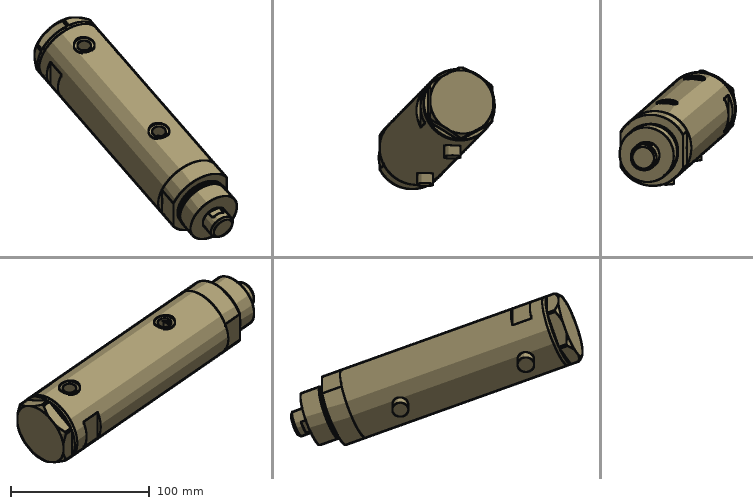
import cadquery as cq
import math


outer_diameter = 52.0
outer_radius = outer_diameter / 2
overall_height = 59.4
across_flats = 45.9
rod_radius = 9.5
bore_radius = 15.0
head_seat_radius = 22.3

hex_end = 8.8
cap_end = 11.4
cap_spigot_end = 34.3
head_spigot_start = 132.5
barrel_end = 168.7
head_end = 184.2
collar_start = 187.8
collar_end = 202.2
rod_flat_end = 208.0
rod_end = 214.5

hex_corner_chamfer = 2.8

barrel_flat_start = 21.0
barrel_flat_end = 35.8
port_radius = 5.0
port_face_radius = 7.5
port_face_depth = 1.3
port_places = (30.5, 129.5)
peg_bottom = outer_radius - overall_height
pegs = ((34.7, 6.0), (132.5, 5.8))

neck_radius = 19.5
neck_groove_radius = 18.9
neck_groove_start = 185.5
neck_groove_end = 186.7
collar_radius = 20.0

rod_across_flats = 16.3
rod_tip_chamfer = 1.5


def cylinder_x(radius, start, end):
    """Solid cylinder on the X axis between two places."""
    return cq.Workplane("YZ", origin=(start, 0, 0)).circle(radius).extrude(end - start)


def cylinder_z(radius, place, bottom, top):
    """Solid upright cylinder that crosses the X axis at the given place."""
    return cq.Workplane("XY", origin=(place, 0, bottom)).circle(radius).extrude(top - bottom)


def slab_x(size_y, size_z, start, end):
    """Block centred on the X axis; what it keeps of a round body has two flats."""
    return cq.Workplane("YZ", origin=(start, 0, 0)).rect(size_y, size_z).extrude(end - start)


def side_flats(start, end):
    """Material to remove for two wrench flats on the -Y and +Y sides."""
    outer_size = 3 * outer_radius
    return slab_x(outer_size, outer_size, start, end).cut(
        slab_x(across_flats, outer_size, start, end)
    )


def make_cap():
    """Hexagonal cap with chamfered corners, a round flange and a spigot for the bore."""
    across_corners = across_flats / math.cos(math.radians(30))
    hexagon = (
        cq.Workplane("YZ")
        .polygon(6, across_corners)
        .extrude(hex_end)
        .rotate((0, 0, 0), (1, 0, 0), 90)
    )
    corner_trim = cylinder_x(outer_radius, 0, hex_end).faces("<X").chamfer(hex_corner_chamfer)
    flange = cylinder_x(outer_radius, hex_end, cap_end)
    spigot = cylinder_x(bore_radius, cap_end, cap_spigot_end)
    return hexagon.intersect(corner_trim).union(flange).union(spigot)


def make_barrel():
    """Tube with two flats, two ports on top and two pegs underneath."""
    barrel = cylinder_x(outer_radius, cap_end, barrel_end)
    for place, radius in pegs:
        barrel = barrel.union(cylinder_z(radius, place, peg_bottom, 0))
    barrel = barrel.cut(cylinder_x(bore_radius, cap_end, head_spigot_start))
    barrel = barrel.cut(cylinder_x(head_seat_radius, head_spigot_start, barrel_end))
    barrel = barrel.cut(side_flats(barrel_flat_start, barrel_flat_end))
    port_face = outer_radius - port_face_depth
    for place in port_places:
        barrel = barrel.cut(cylinder_z(port_face_radius, place, port_face, outer_radius))
        barrel = barrel.cut(cylinder_z(port_radius, place, 0, outer_radius))
    return barrel


def make_head():
    """Rod guide: spigot in the barrel, flatted flange, grooved neck and collar."""
    spigot = cylinder_x(head_seat_radius, head_spigot_start, barrel_end)
    flange = cylinder_x(outer_radius, barrel_end, head_end).cut(side_flats(barrel_end, head_end))
    neck = (
        cylinder_x(neck_radius, head_end, neck_groove_start)
        .union(cylinder_x(neck_groove_radius, neck_groove_start, neck_groove_end))
        .union(cylinder_x(neck_radius, neck_groove_end, collar_start))
    )
    collar = cylinder_x(collar_radius, collar_start, collar_end)
    head = spigot.union(flange).union(neck).union(collar)
    return head.cut(cylinder_x(rod_radius, head_spigot_start, collar_end))


def make_rod():
    """Round rod from the cap to its chamfered tip, flatted above and below past the collar."""
    rod = cylinder_x(rod_radius, cap_spigot_end, rod_end).faces(">X").chamfer(rod_tip_chamfer)
    rod_width = 2 * rod_radius
    flats = slab_x(rod_width, rod_width, collar_end, rod_flat_end).cut(
        slab_x(rod_width, rod_across_flats, collar_end, rod_flat_end)
    )
    return rod.cut(flats)


cap = make_cap()
barrel = make_barrel()
head = make_head()
rod = make_rod()

result = cq.Compound.makeCompound([cap.val(), barrel.val(), head.val(), rod.val()])